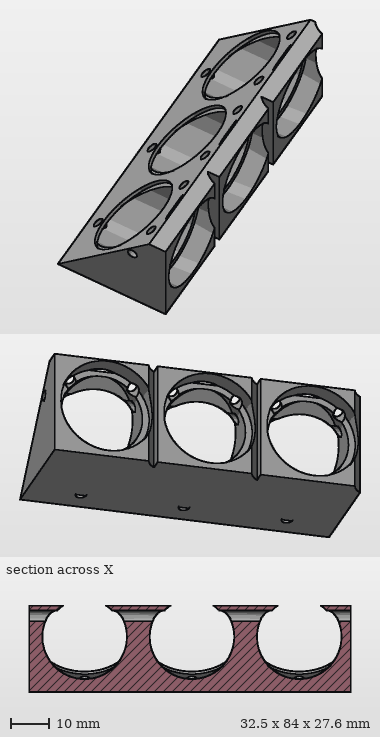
import cadquery as cq
import math

length = 84.0
height = 27.55
depth = 32.5

bay_count = 3
bay_pitch = length / bay_count
window_shift = 0.5

bore_height = 14.45
window_diameter = 25.5
skin_thickness = 1.0
bore_diameter = 22.0
counterbore_diameter = 25.6
counterbore_depth = 5.7

screw_diameter = 2.9
screw_depth = 5.0
upper_screw_height = 24.7
upper_screw_offset = 8.5
lower_screw_height = 3.8

cable_diameter = 2.8
cable_x = 22.5
cable_z = 19.9

relief_depth = 3.5
relief_width = 2.4
relief_sag = 0.3

INTO_SLOPE = cq.Vector(1, 0, -1)


def wedge(skin=0.0):
    """Wedge with its slope set back by the given thickness."""
    setback = skin * math.sqrt(2)
    return (
        cq.Workplane("XZ")
        .moveTo(setback, 0)
        .lineTo(height + setback, height)
        .lineTo(depth, height)
        .lineTo(depth, 0)
        .close()
        .extrude(-length)
    )


def x_cylinder(diameter, start_x, y):
    """Horizontal cylinder from start_x to the back face."""
    return cq.Workplane(
        cq.Solid.makeCylinder(
            diameter / 2, depth - start_x, cq.Vector(start_x, y, bore_height), cq.Vector(1, 0, 0)
        )
    )


def slope_hole(diameter, hole_depth, y, z):
    """Cylinder square to the slope, starting on it at height z, where x equals z."""
    return cq.Workplane(
        cq.Solid.makeCylinder(diameter / 2, hole_depth, cq.Vector(z, y, z), INTO_SLOPE)
    )


def edge_relief(y_end):
    """Full-height notch in the back, with a flat wall at y_end and a hollow curved side."""
    return (
        cq.Workplane("XY")
        .moveTo(depth, y_end)
        .lineTo(depth - relief_depth, y_end)
        .sagittaArc((depth, y_end - relief_width), -relief_sag)
        .close()
        .extrude(height)
    )


body = wedge()
inner_wedge = wedge(skin_thickness)

for bay in range(bay_count):
    bay_end = (bay + 1) * bay_pitch
    center = bay_end - bay_pitch / 2 + window_shift

    body = body.cut(x_cylinder(bore_diameter, 0, center).intersect(inner_wedge))
    body = body.cut(slope_hole(window_diameter, skin_thickness, center, bore_height))
    body = body.cut(x_cylinder(counterbore_diameter, depth - counterbore_depth, center))

    screw_places = [
        (center, lower_screw_height),
        (center - upper_screw_offset, upper_screw_height),
        (center + upper_screw_offset, upper_screw_height),
    ]
    for y, z in screw_places:
        body = body.cut(slope_hole(screw_diameter, screw_depth, y, z))

    body = body.cut(edge_relief(bay_end))

cable_hole = (
    cq.Workplane("XZ")
    .center(cable_x, cable_z)
    .circle(cable_diameter / 2)
    .extrude(-length)
)
result = body.cut(cable_hole)